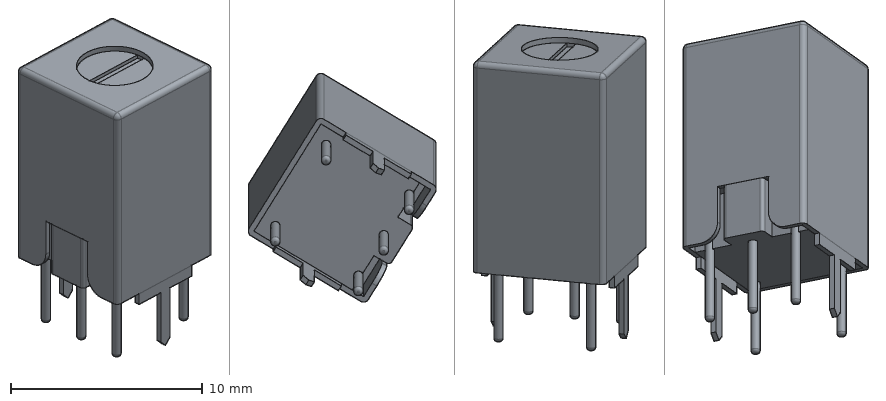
import cadquery as cq


can_width = 7.3
can_height = 11.5
can_wall = 0.3
can_edge_radius = 0.3
access_hole_diameter = 4.0

notch_width = 3.0
notch_height = 3.0
notch_rim_radius = 1.0

tab_root_width = 4.0
tab_root_height = 0.65
tab_width = 0.7

key_width = 2.4
key_edge_radius = 0.2
recess_setback = 0.98

core_diameter = access_hole_diameter
core_length = 2.0
slot_width = 0.5
slot_depth = 0.2

pin_length = 4.0
pin_diameter = 0.5
pin_tip_radius = 0.2
pin_offset = 2.54
pin_embedment = 1.0

can_half = can_width / 2
inner_width = can_width - 2 * can_wall
inner_half = inner_width / 2
inner_height = can_height - can_wall
recess_y = recess_setback - can_half
pin_positions = [
    (-pin_offset, -pin_offset),
    (0, -pin_offset),
    (pin_offset, -pin_offset),
    (-pin_offset, pin_offset),
    (pin_offset, pin_offset),
]


def block(x_size, y_min, y_max, z_min, z_max):
    """Box centred on X = 0 between the given Y and Z limits."""
    return cq.Workplane("XY").box(
        x_size, y_max - y_min, z_max - z_min, centered=(True, False, False)
    ).translate((0, y_min, z_min))


def make_pin(x, y):
    """Round pin with a rounded lower tip, its upper end set in the base."""
    return (
        cq.Workplane("XY", origin=(x, y, -pin_length))
        .circle(pin_diameter / 2)
        .extrude(pin_length + pin_embedment)
        .faces("<Z")
        .edges()
        .fillet(pin_tip_radius)
    )


def make_core_blank():
    """Plain cylinder just under the can top, also the shape of the bore that holds the core."""
    return (
        cq.Workplane("XY", origin=(0, 0, inner_height - core_length))
        .circle(core_diameter / 2)
        .extrude(core_length)
    )


def make_core():
    """Core with a screwdriver slot along Y across its upper end."""
    half = core_diameter / 2
    slot = block(slot_width, -half, half, inner_height - slot_depth, inner_height)
    return make_core_blank().cut(slot)


def make_tab(outer_x, inward):
    """Flat ground tab with a wide root and a pointed end; inward is +1 or -1 along X."""
    half_root = tab_root_width / 2
    half_tab = tab_width / 2
    outline = [
        (-half_root, 0),
        (-half_root, -tab_root_height),
        (-half_tab, -tab_root_height),
        (-half_tab, half_tab - pin_length),
        (0, -pin_length),
        (half_tab, half_tab - pin_length),
        (half_tab, -tab_root_height),
        (half_root, -tab_root_height),
        (half_root, 0),
    ]
    return (
        cq.Workplane("YZ", origin=(outer_x, 0, 0))
        .polyline(outline)
        .close()
        .extrude(inward * can_wall)
    )


def make_notch():
    """Cutter for the front notch, flaring into the rim through two rounded corners."""
    half = notch_width / 2
    flare = half + notch_rim_radius
    return (
        cq.Workplane("XZ", origin=(0, -inner_half, 0))
        .moveTo(-flare, 0)
        .radiusArc((-half, notch_rim_radius), -notch_rim_radius)
        .lineTo(-half, notch_height)
        .lineTo(half, notch_height)
        .lineTo(half, notch_rim_radius)
        .radiusArc((flare, 0), -notch_rim_radius)
        .close()
        .extrude(can_wall)
    )


def make_can():
    """Thin square can, open below, with access hole, front notch and two ground tabs."""
    can = (
        block(can_width, -can_half, can_half, 0, can_height)
        .edges("|Z or >Z")
        .fillet(can_edge_radius)
    )
    can = can.cut(block(inner_width, -inner_half, inner_half, 0, inner_height))
    access_hole = (
        cq.Workplane("XY", origin=(0, 0, inner_height))
        .circle(access_hole_diameter / 2)
        .extrude(can_wall)
    )
    can = can.cut(access_hole).cut(make_notch())
    for side in (-1, 1):
        can = can.union(make_tab(side * can_half, -side), clean=False)
    return can


def make_base(inserts):
    """Block filling the can, with a low front recess, a key in the notch and insert seats."""
    base = block(inner_width, -inner_half, inner_half, 0, inner_height)
    base = base.cut(block(inner_width, -inner_half, recess_y, 0, notch_height))
    key = (
        block(key_width, -can_half, recess_y, 0, notch_height)
        .edges("|Z and <Y")
        .fillet(key_edge_radius)
    )
    base = base.union(key)
    for insert in inserts:
        base = base.cut(insert)
    return base


pins = [make_pin(x, y) for x, y in pin_positions]
core = make_core()
can = make_can()
base = make_base(pins + [make_core_blank()])

result = cq.Compound.makeCompound([can.val(), base.val(), core.val(), *[pin.val() for pin in pins]])